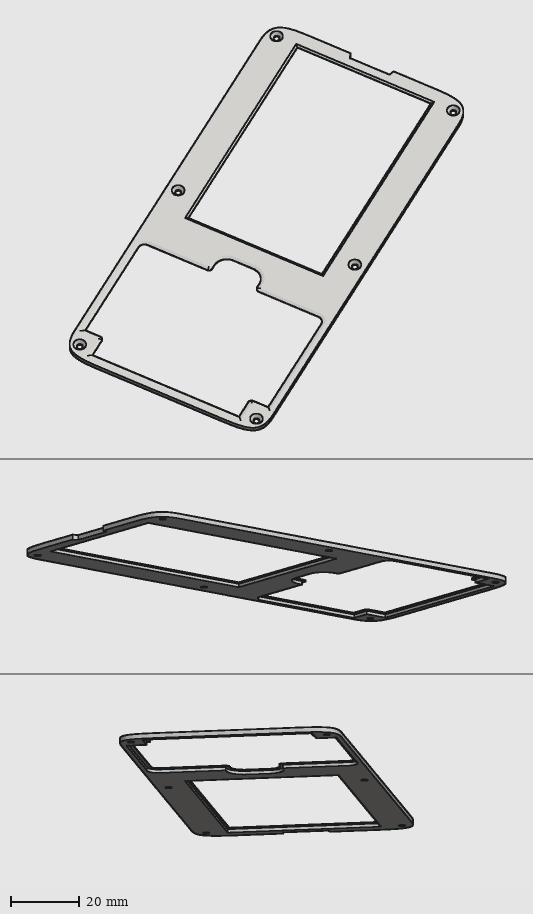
import cadquery as cq
import math

WIDTH = 65.7
LENGTH = 134.7
THICKNESS = 1.5
HALF_WIDTH = WIDTH / 2
HALF_LENGTH = LENGTH / 2

SHORT_SIDE_STRAIGHT_HALF = 21.8
LONG_SIDE_STRAIGHT_HALF = 59.0
SHORT_SIDE_PULL = 0.77
LONG_SIDE_PULL = 0.8

NOTCH_MOUTH_HALF = 7.1
NOTCH_FLOOR_HALF = 6.6
NOTCH_DEPTH = 1.6

LIP_THICKNESS = 0.5

SCREEN_WIDTH = 45.6
SCREEN_TOP = 63.0
SCREEN_BOTTOM = -7.95
SCREEN_SLOPE_WIDTH = 0.75
SCREEN_SLOPE_DEPTH = 0.4

KEYPAD_HALF_WIDTH = 31.3
KEYPAD_TOP = -20.35
KEYPAD_BOTTOM = -65.35
KEYPAD_CORNER_RADIUS = 3.1
KEYPAD_SLOPE_WIDTH = 1.1
KEYPAD_SLOPE_DEPTH = 0.29

TAB_TOP = -58.35
TAB_INNER_X = 25.3

HUMP_HALF_WIDTH = 8.5
HUMP_TOP = -13.75
HUMP_RADIUS = 5.2

SCREW_X = 29.2
SCREW_Y = 62.8
SCREW_HEAD_DIAMETER = 3.74
SCREW_HOLE_DIAMETER = 1.8
SCREW_HEAD_ANGLE = 90


def plate():
    """Flat blank with four smoothly curved corners, standing on Z = 0."""
    short_run_end = (SHORT_SIDE_STRAIGHT_HALF, HALF_LENGTH)
    long_run_end = (HALF_WIDTH, LONG_SIDE_STRAIGHT_HALF)
    short_handle_x = SHORT_SIDE_STRAIGHT_HALF + SHORT_SIDE_PULL * (HALF_WIDTH - SHORT_SIDE_STRAIGHT_HALF)
    long_handle_y = LONG_SIDE_STRAIGHT_HALF + LONG_SIDE_PULL * (HALF_LENGTH - LONG_SIDE_STRAIGHT_HALF)
    corner_curve = [
        short_run_end,
        (short_handle_x, HALF_LENGTH),
        (HALF_WIDTH, long_handle_y),
        long_run_end,
    ]
    quarter = (
        cq.Workplane("XY")
        .moveTo(0, HALF_LENGTH)
        .lineTo(*short_run_end)
        .bezier(corner_curve)
        .lineTo(HALF_WIDTH, 0)
    )
    return quarter.mirrorX().mirrorY().extrude(THICKNESS)


def notch():
    """Shallow cut with slanted ends in the upper short side."""
    floor_y = HALF_LENGTH - NOTCH_DEPTH
    corners = [
        (-NOTCH_MOUTH_HALF, HALF_LENGTH),
        (-NOTCH_FLOOR_HALF, floor_y),
        (NOTCH_FLOOR_HALF, floor_y),
        (NOTCH_MOUTH_HALF, HALF_LENGTH),
    ]
    return cq.Workplane("XY").polyline(corners).close().extrude(THICKNESS)


def swept_down(wire, depth, taper=0):
    """Solid swept down from a closed wire, narrowing by the taper angle."""
    return cq.Workplane("XY").newObject([wire]).toPending().extrude(-depth, taper=taper)


def window(rim, slope_width, slope_depth):
    """Opening that slopes inwards from its rim, drops straight through the lip and widens below it."""
    taper = math.degrees(math.atan2(slope_width, slope_depth))
    slope = swept_down(rim, slope_depth, taper)
    throat_wire = slope.faces("<Z").wires().val()
    throat = swept_down(throat_wire, LIP_THICKNESS - slope_depth)
    rebate = swept_down(rim, THICKNESS - LIP_THICKNESS).translate((0, 0, -LIP_THICKNESS))
    return slope.union(throat).union(rebate)


def screen_window():
    """Rectangular window in the upper half."""
    rim = (
        cq.Workplane("XY", origin=(0, 0, THICKNESS))
        .center(0, (SCREEN_TOP + SCREEN_BOTTOM) / 2)
        .rect(SCREEN_WIDTH, SCREEN_TOP - SCREEN_BOTTOM)
        .val()
    )
    return window(rim, SCREEN_SLOPE_WIDTH, SCREEN_SLOPE_DEPTH)


def keypad_window():
    """Window in the lower half, with a rounded hump above and a tab at each lower corner."""
    rim = (
        cq.Workplane("XY", origin=(0, 0, THICKNESS))
        .moveTo(TAB_INNER_X, KEYPAD_BOTTOM)
        .lineTo(TAB_INNER_X, TAB_TOP)
        .lineTo(KEYPAD_HALF_WIDTH, TAB_TOP)
        .lineTo(KEYPAD_HALF_WIDTH, KEYPAD_TOP - KEYPAD_CORNER_RADIUS)
        .tangentArcPoint((-KEYPAD_CORNER_RADIUS, KEYPAD_CORNER_RADIUS))
        .lineTo(HUMP_HALF_WIDTH, KEYPAD_TOP)
        .lineTo(HUMP_HALF_WIDTH, HUMP_TOP - HUMP_RADIUS)
        .tangentArcPoint((-HUMP_RADIUS, HUMP_RADIUS))
        .lineTo(-HUMP_HALF_WIDTH + HUMP_RADIUS, HUMP_TOP)
        .tangentArcPoint((-HUMP_RADIUS, -HUMP_RADIUS))
        .lineTo(-HUMP_HALF_WIDTH, KEYPAD_TOP)
        .lineTo(-KEYPAD_HALF_WIDTH + KEYPAD_CORNER_RADIUS, KEYPAD_TOP)
        .tangentArcPoint((-KEYPAD_CORNER_RADIUS, -KEYPAD_CORNER_RADIUS))
        .lineTo(-KEYPAD_HALF_WIDTH, TAB_TOP)
        .lineTo(-TAB_INNER_X, TAB_TOP)
        .lineTo(-TAB_INNER_X, KEYPAD_BOTTOM)
        .close()
        .val()
    )
    return window(rim, KEYPAD_SLOPE_WIDTH, KEYPAD_SLOPE_DEPTH)


def with_screw_holes(body):
    """Body with countersunk through holes near both long sides."""
    places = [(x, y) for x in (-SCREW_X, SCREW_X) for y in (-SCREW_Y, 0, SCREW_Y)]
    return (
        body.faces(">Z")
        .workplane(origin=(0, 0, THICKNESS))
        .pushPoints(places)
        .cskHole(SCREW_HOLE_DIAMETER, SCREW_HEAD_DIAMETER, SCREW_HEAD_ANGLE)
    )


frame = plate().cut(notch()).cut(screen_window()).cut(keypad_window())
result = with_screw_holes(frame).solids()